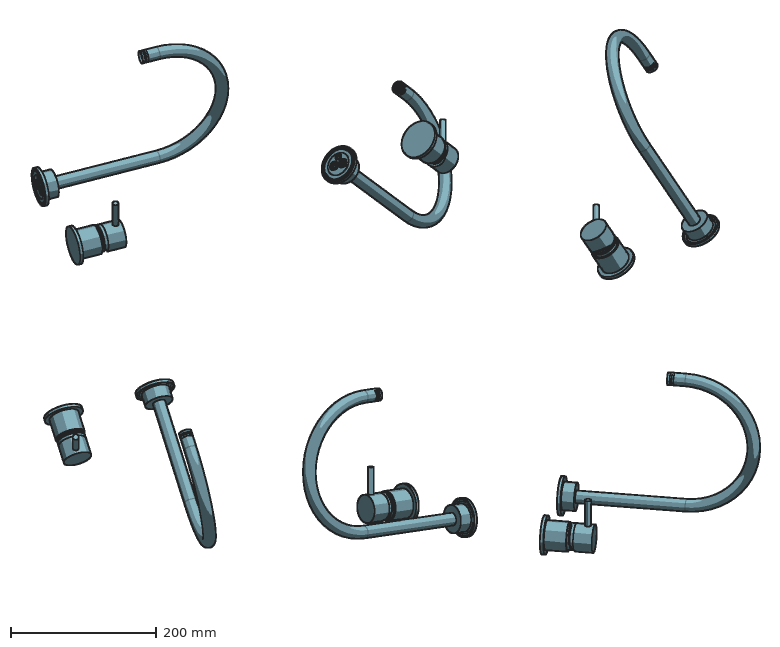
import cadquery as cq
import math


flange_radius = 27.5
flange_thickness = 4.8
valve_spacing = 131.3

spigot_radius = 17.0
groove_inner_radius = 22.7
groove_outer_radius = 25.5
groove_depth = 3.5

collar_radius = 20.0
collar_end = 22.5
tube_radius = 9.0
overall_reach = 280.0
spout_top = 199.0
tip_length = 25.2
bend_radius = (spout_top - tube_radius) / 2
bend_start = overall_reach - tube_radius - bend_radius
outlet_height = 2 * bend_radius
outlet_face = bend_start - tip_length

inlet_offset = 7.0
inlet_drop = 0.5
inlet_mouth_radius = 6.7
inlet_radius = 5.3
inlet_bore_radius = 3.5
inlet_step_depth = 4.2
inlet_bore_depth = 8.5
screw_height = 11.8
screw_mouth_radius = 4.8
screw_radius = 4.0
screw_bore_radius = 3.5
screw_step_depth = 2.8
screw_bore_depth = 7.0
drill_tip_slope = math.tan(math.radians(30))

outlet_rim_radius = 8.5
outlet_rim_depth = 3.5
aerator_radius = 7.5
aerator_recess = 6.2
aerator_thickness = 2.8
mesh_radius = 7.3
mesh_pitch = 1.5
mesh_hole = 0.8

sleeve_radius = 21.0
sleeve_end = 35.5
neck_radius = 18.5
neck_end = 40.3
core_radius = 16.8
core_taper_length = 1.5

knob_radius = 20.0
knob_start = 38.5
knob_end = 71.5
cup_radius = 19.3
cup_end = 45.0
relief_end = 49.0
lever_radius = 4.2
lever_position = 62.7
lever_top = 58.0
lever_seat = 14.0


def cylinder_y(radius, start, end, x=0, z=0):
    """Solid cylinder along +Y between two Y positions."""
    return cq.Workplane("XZ", origin=(x, start, z)).circle(radius).extrude(start - end)


def turned_y(profile, x=0, z=0):
    """Solid turned about a Y-parallel axis from (radius, y) points."""
    turned = cq.Workplane("XY").polyline(profile).close().revolve(360, (0, 0, 0), (0, 1, 0))
    return turned.translate((x, 0, z))


def make_spout_flange():
    flange = cylinder_y(flange_radius, 0, flange_thickness)
    bore = cylinder_y(spigot_radius, 0, flange_thickness)
    groove = cylinder_y(groove_outer_radius, 0, groove_depth)
    groove = groove.cut(cylinder_y(groove_inner_radius, 0, groove_depth))
    return flange.cut(bore).cut(groove)


def stepped_port(x, z, mouth_radius, step_radius, bore_radius, step_depth, bore_depth):
    """Blind hole with a 45 degree mouth chamfer, a narrower inner bore and a drill point."""
    profile = [
        (0, 0),
        (mouth_radius, 0),
        (step_radius, mouth_radius - step_radius),
        (step_radius, step_depth),
        (bore_radius, step_depth),
        (bore_radius, bore_depth),
        (0, bore_depth + bore_radius * drill_tip_slope),
    ]
    return turned_y(profile, x, z)


def inlet_port(x):
    return stepped_port(
        x, -inlet_drop,
        inlet_mouth_radius, inlet_radius, inlet_bore_radius,
        inlet_step_depth, inlet_bore_depth,
    )


def screw_port():
    return stepped_port(
        0, screw_height,
        screw_mouth_radius, screw_radius, screw_bore_radius,
        screw_step_depth, screw_bore_depth,
    )


def make_spout():
    spigot = cylinder_y(spigot_radius, 0, flange_thickness)
    collar = cylinder_y(collar_radius, flange_thickness, collar_end)
    path = (
        cq.Workplane("YZ")
        .moveTo(collar_end, 0)
        .lineTo(bend_start, 0)
        .threePointArc((bend_start + bend_radius, bend_radius), (bend_start, outlet_height))
        .lineTo(outlet_face, outlet_height)
    )
    tube = cq.Workplane("XZ", origin=(0, collar_end, 0)).circle(tube_radius).sweep(path)
    spout = spigot.union(collar).union(tube)

    for x in (-inlet_offset, inlet_offset):
        spout = spout.cut(inlet_port(x))
    spout = spout.cut(screw_port())

    mouth = cylinder_y(outlet_rim_radius, outlet_face, outlet_face + outlet_rim_depth, z=outlet_height)
    seat_end = outlet_face + aerator_recess + aerator_thickness
    seat = cylinder_y(aerator_radius, outlet_face, seat_end, z=outlet_height)
    return spout.cut(mouth).cut(seat)


def make_aerator():
    """Disc pierced by a square grid of holes, all inside the mesh radius."""
    start = outlet_face + aerator_recess
    end = start + aerator_thickness
    steps = math.ceil(mesh_radius / mesh_pitch)
    grid = [mesh_pitch * i for i in range(-steps, steps + 1)]
    reach = mesh_radius - mesh_hole / math.sqrt(2)
    places = [(x, z) for x in grid for z in grid if math.hypot(x, z) <= reach]
    holes = (
        cq.Workplane("XZ", origin=(0, start, outlet_height))
        .pushPoints(places)
        .rect(mesh_hole, mesh_hole)
        .extrude(start - end)
    )
    return cylinder_y(aerator_radius, start, end, z=outlet_height).cut(holes)


def make_valve_body():
    profile = [
        (0, 0),
        (flange_radius, 0),
        (flange_radius, flange_thickness),
        (sleeve_radius, flange_thickness),
        (sleeve_radius, sleeve_end),
        (neck_radius, sleeve_end),
        (neck_radius, neck_end),
        (core_radius, neck_end + core_taper_length),
        (core_radius, cup_end),
        (0, cup_end),
    ]
    return turned_y(profile, valve_spacing)


def make_lever():
    lever = cq.Workplane("XY", origin=(valve_spacing, lever_position, lever_seat))
    return lever.circle(lever_radius).extrude(lever_top - lever_seat)


def make_knob(lever):
    """Cup-ended knob, relieved below the axis so that it can tilt over the neck."""
    knob = cylinder_y(knob_radius, knob_start, knob_end, valve_spacing)
    cup = cylinder_y(cup_radius, knob_start, cup_end, valve_spacing)
    relief = (
        cq.Workplane("YZ", origin=(valve_spacing, 0, 0))
        .polyline([(knob_start, 0), (relief_end, -knob_radius), (knob_start, -knob_radius)])
        .close()
        .extrude(knob_radius, both=True)
    )
    relief = relief.cut(cylinder_y(core_radius, knob_start, knob_end, valve_spacing))
    return knob.cut(cup).cut(relief).cut(lever)


spout_flange = make_spout_flange()
spout = make_spout()
aerator = make_aerator()
valve_body = make_valve_body()
lever = make_lever()
knob = make_knob(lever)

result = cq.Compound.makeCompound([
    spout_flange.val(),
    spout.val(),
    aerator.val(),
    valve_body.val(),
    knob.val(),
    lever.val(),
])